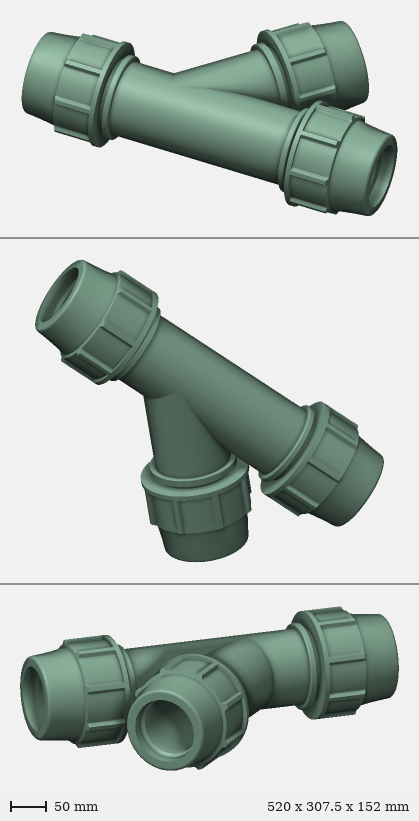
import cadquery as cq
import math

run_length = 520.0
branch_angle = 45.0
branch_start_x = 206.0
branch_length = 270.5

pipe_radius = 106.5 / 2
bore_radius = 81.0 / 2
mouth_bore_radius = 90.0 / 2
mouth_bore_depth = 18.0
mouth_step_length = 4.0

mouth_face_radius = 54.5
sleeve_small_radius = 59.5
mouth_rounding = 4.0
sleeve_large_radius = 65.5
sleeve_length = 52.0
sleeve_hollow = 0.7

nut_radius = 70.0
flange_radius = 152.0 / 2
nut_front_slope = 0.35
flange_start = 108.5
flange_end = 115.5
rib_count = 8
rib_top_width = 6.0
rib_base_width = 11.5
rib_root_rounding = 2.5

collar_radius = 121.5 / 2
collar_start = 122.0
collar_width = 9.5
collar_rounding = 2.0


def cylinder(radius, start, length):
    """Cylinder on the X axis."""
    return cq.Workplane("YZ", origin=(start, 0, 0)).circle(radius).extrude(length)


def around_x(profile):
    """Revolve a closed XY profile a full turn about the X axis."""
    return profile.revolve(360, (0, 0, 0), (1, 0, 0))


def nut_envelope(radius, end):
    """Solid of revolution with the nut's slightly conical front face."""
    front_setback = nut_front_slope * (radius - sleeve_large_radius)
    return around_x(
        cq.Workplane("XY")
        .moveTo(sleeve_length, 0)
        .lineTo(sleeve_length, sleeve_large_radius)
        .lineTo(sleeve_length + front_setback, radius)
        .lineTo(end, radius)
        .lineTo(end, 0)
        .close()
    )


def make_sleeve():
    """Flared sleeve with a rounded mouth edge."""
    bend = math.sqrt(0.5)
    rounding_height = sleeve_small_radius - mouth_face_radius
    rounding_mid = (mouth_rounding * (1 - bend), mouth_face_radius + rounding_height * bend)
    flare_mid = (
        (mouth_rounding + sleeve_length) / 2,
        (sleeve_small_radius + sleeve_large_radius) / 2 - sleeve_hollow,
    )
    return around_x(
        cq.Workplane("XY")
        .lineTo(0, mouth_face_radius)
        .threePointArc(rounding_mid, (mouth_rounding, sleeve_small_radius))
        .threePointArc(flare_mid, (sleeve_length, sleeve_large_radius))
        .lineTo(sleeve_length, 0)
        .close()
    )


def make_ribs():
    """Tapered ribs, trimmed so that their tops lie flush with the flange."""
    rib_base = nut_radius * math.cos(math.asin(rib_base_width / 2 / nut_radius))
    rib = (
        cq.Workplane("YZ", origin=(sleeve_length, 0, 0))
        .moveTo(-rib_base_width / 2, 0)
        .lineTo(-rib_base_width / 2, rib_base)
        .lineTo(-rib_top_width / 2, flange_radius)
        .lineTo(rib_top_width / 2, flange_radius)
        .lineTo(rib_base_width / 2, rib_base)
        .lineTo(rib_base_width / 2, 0)
        .close()
        .extrude(flange_end - sleeve_length)
    )
    rib_pitch = 360 / rib_count
    ribs = cq.Workplane("XY")
    for index in range(rib_count):
        ribs = ribs.union(rib.rotate((0, 0, 0), (1, 0, 0), (index + 0.5) * rib_pitch))
    return ribs.intersect(nut_envelope(flange_radius, flange_end))


def is_rib_root(edge):
    """True for edges lying on the nut surface rather than along the rib tops."""
    center = edge.Center()
    return math.hypot(center.y, center.z) < (nut_radius + flange_radius) / 2


def make_nut():
    """Ribbed nut with rounded roots where the ribs meet it."""
    nut = nut_envelope(nut_radius, flange_end).union(make_ribs())
    return nut.edges("|X").filter(is_rib_root).fillet(rib_root_rounding)


def make_coupling(collar):
    """Solid coupling with its mouth at the origin, reaching inward along +X."""
    flange = cylinder(flange_radius, flange_start, flange_end - flange_start)
    neck = cylinder(pipe_radius, flange_start, collar_start + collar_width - flange_start)
    return make_sleeve().union(make_nut()).union(flange).union(neck).union(collar)


def make_mouth_bore():
    """Wider bore at a mouth, ending in a conical step."""
    return around_x(
        cq.Workplane("XY")
        .lineTo(0, mouth_bore_radius)
        .lineTo(mouth_bore_depth, mouth_bore_radius)
        .lineTo(mouth_bore_depth + mouth_step_length, bore_radius)
        .lineTo(mouth_bore_depth + mouth_step_length, 0)
        .close()
    )


def place_at_run_end(shape):
    """Turn a mouth shape around to the far end of the main pipe."""
    return shape.rotate((0, 0, 0), (0, 0, 1), 180).translate((run_length, 0, 0))


def along_branch(shape):
    """Swing a shape from the X axis onto the branch axis."""
    return shape.rotate((0, 0, 0), (0, 0, 1), branch_angle).translate((branch_start_x, 0, 0))


def place_on_branch(shape):
    """Move a mouth shape to the end of the branch."""
    turned = shape.rotate((0, 0, 0), (0, 0, 1), 180).translate((branch_length, 0, 0))
    return along_branch(turned)


square_collar = cylinder(collar_radius, collar_start, collar_width)
rounded_collar = square_collar.edges().fillet(collar_rounding)
run_coupling = make_coupling(rounded_collar)
branch_coupling = make_coupling(square_collar)
main_pipe = cylinder(pipe_radius, flange_end, run_length - 2 * flange_end)
branch_pipe = along_branch(cylinder(pipe_radius, 0, branch_length - flange_end))
body = main_pipe.union(branch_pipe).union(run_coupling)
body = body.union(place_at_run_end(run_coupling)).union(place_on_branch(branch_coupling))

mouth_bore = make_mouth_bore()
body = body.cut(cylinder(bore_radius, 0, run_length))
body = body.cut(along_branch(cylinder(bore_radius, 0, branch_length)))
body = body.cut(mouth_bore).cut(place_at_run_end(mouth_bore)).cut(place_on_branch(mouth_bore))

result = body